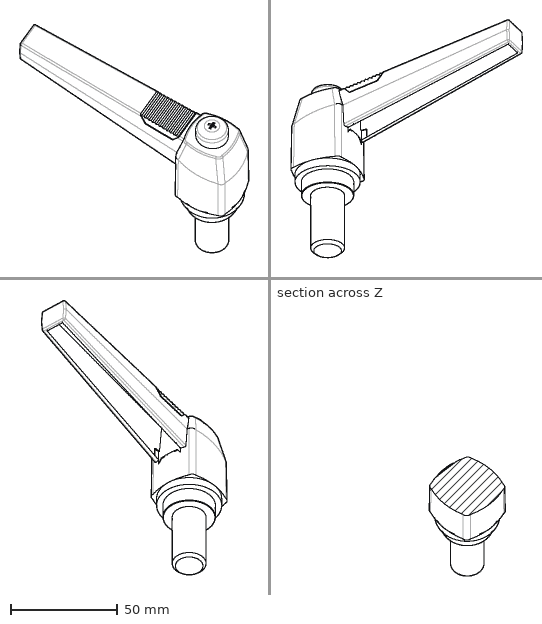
import cadquery as cq
import math


STUD_D = 16.0
STUD_LENGTH = 30.0
STUD_CHAMFER = 1.5
BOSS_D = 24.73
BOSS_HEIGHT = 7.4
BOSS_CHAMFER = 0.25

SKIRT_D = 30.73
SKIRT_HEIGHT = 4.2
HUB_BASE_Z = BOSS_HEIGHT + SKIRT_HEIGHT

HUB_BASE_REACH = 15.3
HUB_BASE_CORNER = (11.0, 13.4)
SHOULDER_REACH = 15.0
SHOULDER_CORNER = (10.75, 13.15)
TOP_REACH = 11.4
TOP_CORNER = (7.8, 10.3)
SHOULDER_Z = 37.7
TOP_Z = 50.95
TOP_ANGLE = 3.7
HUB_TOP_FILLET = 0.8

OVERALL_LENGTH = 115.72
TIP_X = SKIRT_D / 2 - OVERALL_LENGTH
ARM_ROOT_X = -7.0
ARM_TOP_Z = 65.32
TOP_LINE_ANGLE = 9.58
MID_LINE_ANGLE = 12.26
BOTTOM_LINE_ANGLE = 15.4
TIP_MID_DROP = 6.0
TIP_HEIGHT = 12.0
TIP_HALF_WIDTHS = (6.9, 7.5, 6.9)
ROOT_HALF_WIDTHS = (8.75, 10.1, 9.6)
ARM_FILLET = 0.9

CHANNEL_START_X = TIP_X + 1.5
CHANNEL_END_X = -14.4
CHANNEL_ROOF = 2.4
CHANNEL_START_HALF_WIDTHS = (3.6, 4.7)
CHANNEL_END_HALF_WIDTHS = (4.9, 6.65)
NOTCH_FLOOR_Z = 29.7
NOTCH_CORNER_Z = 27.4
NOTCH_LENGTH = 3.0

TOOTH_PITCH = 1.98
TOOTH_COUNT = 10
TOOTH_DEPTH = 0.75
TOOTH_RISE = 0.65
GRIP_START_X = -34.3
GRIP_LENGTH = 21.2
GRIP_END_X = GRIP_START_X + GRIP_LENGTH
GRIP_SIDE_DEPTH = 0.35
GRIP_SIDE_HEIGHT = 4.0
GRIP_SIDE_RUN = 3.2

CAP_D = 15.4
CAP_DOME_D = 13.85
CAP_EDGE_Z = 55.1
CAP_DOME_Z = 56.6
SCREW_D = 7.3
SCREW_EDGE_Z = 58.2
SCREW_TOP_Z = 58.75
CROSS_LENGTH = 3.87
CROSS_WIDTH = 0.8
CROSS_DEPTH = 1.2

SHOULDER_ANGLE = MID_LINE_ANGLE
OVERSIZE = 5.0


def slope(angle):
    return math.tan(math.radians(angle))


TIP_TOP_Z = ARM_TOP_Z + ARM_FILLET * (
    slope(TOP_LINE_ANGLE) + 1 / math.cos(math.radians(TOP_LINE_ANGLE)) - 1
)


def arm_top_z(x):
    return TIP_TOP_Z - (x - TIP_X) * slope(TOP_LINE_ANGLE)


def arm_mid_z(x):
    return TIP_TOP_Z - TIP_MID_DROP - (x - TIP_X) * slope(MID_LINE_ANGLE)


def arm_bottom_z(x):
    return TIP_TOP_Z - TIP_HEIGHT - (x - TIP_X) * slope(BOTTOM_LINE_ANGLE)


def arm_half_widths(x):
    share = (x - TIP_X) / (ARM_ROOT_X - TIP_X)
    return [a + share * (b - a) for a, b in zip(TIP_HALF_WIDTHS, ROOT_HALF_WIDTHS)]


def hub_section(reach, corner, axis_z, angle):
    """Closed outline of four bulged sides and four round corners, tilted down towards +X.

    The +X side and the corner after it are turned about the axis to give the other three.
    """
    along, across = corner
    middle = (along + across) / 2
    corner_mid = middle + (across - along) * (math.sqrt(2) - 1) / 2

    def place(point, turns):
        x, y = point
        for _ in range(turns):
            x, y = -y, x
        return cq.Vector(x, y, axis_z - x * slope(angle))

    edges = []
    for turns in range(4):
        side = [(across, -along), (reach, 0), (across, along)]
        rounding = [(across, along), (corner_mid, corner_mid), (along, across)]
        for arc in (side, rounding):
            edges.append(cq.Edge.makeThreePointArc(*[place(point, turns) for point in arc]))
    return cq.Wire.assembleEdges(edges)


def make_hub():
    base = hub_section(HUB_BASE_REACH, HUB_BASE_CORNER, HUB_BASE_Z, 0)
    shoulder = hub_section(SHOULDER_REACH, SHOULDER_CORNER, SHOULDER_Z, SHOULDER_ANGLE)
    top = hub_section(TOP_REACH, TOP_CORNER, TOP_Z, TOP_ANGLE)
    lower = cq.Solid.makeLoft([base, shoulder], True)
    upper = cq.Workplane(obj=cq.Solid.makeLoft([shoulder, top], True))
    upper = upper.faces(">Z").edges().fillet(HUB_TOP_FILLET)
    return cq.Workplane(obj=lower).union(upper)


def make_stem():
    stud = (
        cq.Workplane("XY")
        .circle(STUD_D / 2)
        .extrude(-STUD_LENGTH)
        .faces("<Z")
        .chamfer(STUD_CHAMFER)
    )
    boss = (
        cq.Workplane("XY")
        .circle(BOSS_D / 2)
        .extrude(BOSS_HEIGHT)
        .faces("<Z")
        .chamfer(BOSS_CHAMFER)
    )
    skirt = cq.Workplane("XY", origin=(0, 0, BOSS_HEIGHT)).circle(SKIRT_D / 2).extrude(SKIRT_HEIGHT)
    return stud.union(boss).union(skirt)


def loft_sections(sections):
    wires = []
    for x, points in sections:
        corners = [cq.Vector(x, y, z) for y, z in points]
        wires.append(cq.Wire.makePolygon(corners, close=True))
    return cq.Workplane(obj=cq.Solid.makeLoft(wires, True))


def arm_section(x):
    top, middle, bottom = arm_half_widths(x)
    return x, [
        (-top, arm_top_z(x)),
        (top, arm_top_z(x)),
        (middle, arm_mid_z(x)),
        (bottom, arm_bottom_z(x)),
        (-bottom, arm_bottom_z(x)),
        (-middle, arm_mid_z(x)),
    ]


def is_arm_corner(edge):
    """True for the long top and bottom edges, false for the widest line and the section edges."""
    center = edge.Center()
    from_mid_line = abs(center.z - arm_mid_z(center.x))
    runs_along_arm = TIP_X + ARM_FILLET < center.x < ARM_ROOT_X - ARM_FILLET
    return runs_along_arm and from_mid_line > ARM_FILLET


def make_arm():
    arm = loft_sections([arm_section(TIP_X), arm_section(ARM_ROOT_X)])
    tip_edges = arm.faces("<X").edges()
    long_edges = arm.edges().filter(is_arm_corner)
    return arm.newObject(tip_edges.vals() + long_edges.vals()).fillet(ARM_FILLET)


def channel_section(x, half_widths):
    roof, mouth = half_widths
    roof_z = arm_top_z(x) - CHANNEL_ROOF
    mouth_z = arm_bottom_z(x)
    return x, [
        (-roof, roof_z),
        (roof, roof_z),
        (mouth, mouth_z),
        (-mouth, mouth_z),
    ]


def make_channel():
    """Tapered hollow under the arm, ending in a shallow notch in the hub wall."""
    hollow = loft_sections([
        channel_section(CHANNEL_START_X, CHANNEL_START_HALF_WIDTHS),
        channel_section(CHANNEL_END_X, CHANNEL_END_HALF_WIDTHS),
    ])
    floor_half, notch_half = CHANNEL_END_HALF_WIDTHS
    notch_top_z = arm_bottom_z(CHANNEL_END_X) + OVERSIZE
    notch = (
        cq.Workplane("YZ", origin=(CHANNEL_END_X, 0, 0))
        .polyline([
            (-notch_half, notch_top_z),
            (-notch_half, NOTCH_CORNER_Z),
            (-floor_half, NOTCH_FLOOR_Z),
            (floor_half, NOTCH_FLOOR_Z),
            (notch_half, NOTCH_CORNER_Z),
            (notch_half, notch_top_z),
        ])
        .close()
        .extrude(-NOTCH_LENGTH)
    )
    return hollow.union(notch)


def make_tooth_gaps():
    """Saw-tooth cutter across the arm: the gentle flank of each tooth rises towards the hub."""
    points = []
    for index in range(TOOTH_COUNT + 1):
        peak_x = GRIP_START_X + index * TOOTH_PITCH
        valley_x = peak_x + (1 - TOOTH_RISE) * TOOTH_PITCH
        points.append((peak_x, arm_top_z(peak_x)))
        points.append((valley_x, arm_top_z(valley_x) - TOOTH_DEPTH))
    points.append((GRIP_END_X, arm_top_z(GRIP_END_X)))
    points.append((GRIP_END_X, arm_top_z(GRIP_END_X) + OVERSIZE))
    points.append((GRIP_START_X, arm_top_z(GRIP_START_X) + OVERSIZE))
    return cq.Workplane("XZ").polyline(points).close().extrude(SKIRT_D / 2, both=True)


def make_grip_side(side):
    """Shallow recess beside the teeth, its floor parallel to the upper flank of the arm."""

    def slab_section(x):
        top, middle, _ = arm_half_widths(x)
        top_z = arm_top_z(x)
        mid_z = arm_mid_z(x)
        lean = (middle - top) / (top_z - mid_z)
        floor_mid = middle - GRIP_SIDE_DEPTH
        floor_high = floor_mid - lean * (top_z + OVERSIZE - mid_z)
        outside = middle + OVERSIZE
        return x, [
            (side * floor_mid, mid_z),
            (side * floor_high, top_z + OVERSIZE),
            (side * outside, top_z + OVERSIZE),
            (side * outside, mid_z),
        ]

    slab = loft_sections([slab_section(GRIP_START_X), slab_section(GRIP_END_X)])
    low_start_x = GRIP_START_X + GRIP_SIDE_RUN
    low_end_x = GRIP_END_X - GRIP_SIDE_RUN
    outline = (
        cq.Workplane("XZ")
        .polyline([
            (GRIP_START_X, arm_top_z(GRIP_START_X) + OVERSIZE),
            (GRIP_START_X, arm_top_z(GRIP_START_X)),
            (low_start_x, arm_top_z(low_start_x) - GRIP_SIDE_HEIGHT),
            (low_end_x, arm_top_z(low_end_x) - GRIP_SIDE_HEIGHT),
            (GRIP_END_X, arm_top_z(GRIP_END_X)),
            (GRIP_END_X, arm_top_z(GRIP_END_X) + OVERSIZE),
        ])
        .close()
        .extrude(SKIRT_D / 2, both=True)
    )
    return slab.intersect(outline)


def make_cap():
    """Round cap with a rounded top, its domed screw head carrying a cross recess."""
    screw_mid_r = SCREW_D / 4
    screw_mid_z = SCREW_TOP_Z - (SCREW_TOP_Z - SCREW_EDGE_Z) / 4
    cap = (
        cq.Workplane("XZ")
        .moveTo(0, SHOULDER_Z)
        .lineTo(CAP_D / 2, SHOULDER_Z)
        .lineTo(CAP_D / 2, CAP_EDGE_Z)
        .tangentArcPoint((CAP_DOME_D / 2, CAP_DOME_Z), relative=False)
        .tangentArcPoint((SCREW_D / 2, SCREW_EDGE_Z), relative=False)
        .threePointArc((screw_mid_r, screw_mid_z), (0, SCREW_TOP_Z))
        .close()
        .revolve(360, (0, 0), (0, 1))
    )
    for length, width in ((CROSS_LENGTH, CROSS_WIDTH), (CROSS_WIDTH, CROSS_LENGTH)):
        slot = cq.Workplane("XY", origin=(0, 0, SCREW_TOP_Z - CROSS_DEPTH)).rect(length, width)
        cap = cap.cut(slot.extrude(OVERSIZE))
    return cap


body = make_hub().union(make_arm()).cut(make_channel()).cut(make_tooth_gaps())
for side in (-1, 1):
    body = body.cut(make_grip_side(side))
result = make_stem().union(body).union(make_cap())